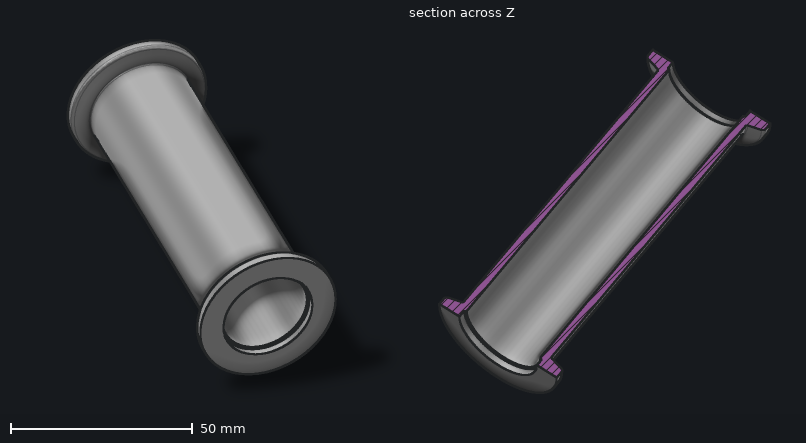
import cadquery as cq
import math

length = 100.0
flange_radius = 20.0
tube_radius = 15.0
bore_radius = 12.5
recess_radius = 13.1
recess_depth = 2.3
bore_chamfer = 0.3

rim_width = 3.0
cone_angle = 15.0
rim_fillet = 1.0
root_fillet = 0.4

half_length = length / 2
cone_width = (flange_radius - tube_radius) * math.tan(math.radians(cone_angle))
rim_corner_x = half_length - rim_width
cone_root_x = rim_corner_x - cone_width


def make_body():
    """Solid tube and both flanges, revolved about X."""
    profile = (
        cq.Workplane("XY")
        .moveTo(-half_length, 0)
        .lineTo(-half_length, flange_radius)
        .lineTo(-rim_corner_x, flange_radius)
        .lineTo(-cone_root_x, tube_radius)
        .lineTo(cone_root_x, tube_radius)
        .lineTo(rim_corner_x, flange_radius)
        .lineTo(half_length, flange_radius)
        .lineTo(half_length, 0)
        .close()
    )
    return profile.revolve(360, (0, 0, 0), (1, 0, 0))


def circles_at(x, radius):
    """Selector for the circular edges at x and -x that touch the given radius."""
    margin = 0.1
    reach = radius + margin
    boxes = [
        cq.selectors.BoxSelector(
            (side * x - margin, -reach, -reach),
            (side * x + margin, reach, reach),
            boundingbox=True,
        )
        for side in (-1, 1)
    ]
    return boxes[0] + boxes[1]


def bore_cylinder(start_x, depth, radius):
    return cq.Workplane("YZ", origin=(start_x, 0, 0)).circle(radius).extrude(depth)


result = make_body()
result = result.edges(circles_at(rim_corner_x, flange_radius)).fillet(rim_fillet)
result = result.edges(circles_at(cone_root_x, tube_radius)).fillet(root_fillet)

result = result.cut(bore_cylinder(-half_length, length, bore_radius))
for recess_start in (-half_length, half_length - recess_depth):
    result = result.cut(bore_cylinder(recess_start, recess_depth, recess_radius))
result = result.edges(circles_at(half_length - recess_depth, bore_radius)).chamfer(bore_chamfer)